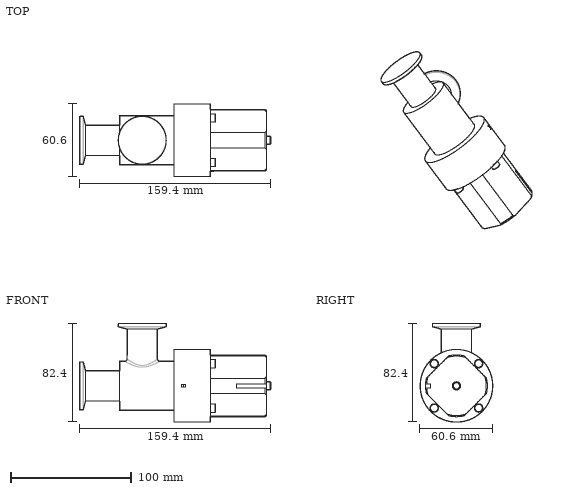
import cadquery as cq
import math


port_reach = 52.07
flange_dia = 40.0
flange_rim = 3.0
flange_cone_angle = 15.0
rim_fillet = 0.5
tube_dia = 25.4

body_dia = 41.0
body_start = -18.9
weld_radius = 1.9
seam_margin = 1.0

ring_dia = 60.64
ring_start = 26.3
ring_end = 56.7

actuator_dia = 51.6
actuator_flats = 44.3
actuator_end = 103.6
end_chamfer_length = 1.5
end_chamfer_depth = 1.0

slot_width = 3.2
slot_length = 25.0
slot_depth = 4.0

window_start = 32.5
window_length = 3.7
window_height = 2.1
window_depth = 2.0
window_step_length = 1.8
window_step_depth = 1.6

screw_dia = 7.0
screw_height = 4.3
screw_chamfer = 0.4
screw_offset = 18.5
pin_dia = 6.82
pin_end = 107.37
pin_chamfer = 0.8


def rod(dia, start, end, y=0.0, z=0.0):
    """Cylinder along X between two stations."""
    return cq.Workplane("YZ", origin=(start, y, z)).circle(dia / 2).extrude(end - start)


def clamp_port():
    """Flange and tube along Z, from the origin up to the flange face."""
    cone_height = (flange_dia - tube_dia) / 2 * math.tan(math.radians(flange_cone_angle))
    rim_bottom = port_reach - flange_rim
    tube = cq.Workplane("XY").circle(tube_dia / 2).extrude(port_reach)
    flange = (
        cq.Workplane("XZ")
        .moveTo(0, port_reach)
        .lineTo(flange_dia / 2, port_reach)
        .lineTo(flange_dia / 2, rim_bottom)
        .lineTo(tube_dia / 2, rim_bottom - cone_height)
        .lineTo(0, rim_bottom - cone_height)
        .close()
        .revolve(360, (0, 0), (0, 1))
    )
    rim_edge = cq.selectors.BoxSelector(
        (-flange_dia, -flange_dia, rim_bottom - rim_fillet),
        (flange_dia, flange_dia, rim_bottom + rim_fillet),
        boundingbox=True,
    )
    return tube.union(flange.edges(rim_edge).fillet(rim_fillet))


def body_with_side_port():
    """Body cylinder joined to the vertical port by a rounded seam."""
    joined = rod(body_dia, body_start, ring_start).union(clamp_port())
    seam = cq.selectors.BoxSelector(
        (-tube_dia, -tube_dia, seam_margin),
        (tube_dia / 2 + seam_margin, tube_dia, body_dia / 2 + seam_margin),
        boundingbox=True,
    )
    return joined.edges(seam).fillet(weld_radius)


def inlet_port():
    """The same port turned to face -X."""
    return clamp_port().rotate((0, 0, 0), (0, 1, 0), -90)


def actuator():
    """Square bar cut to a round envelope with a conical end chamfer."""
    radius = actuator_dia / 2
    bar = (
        cq.Workplane("YZ", origin=(ring_end, 0, 0))
        .transformed(rotate=(0, 0, 45))
        .rect(actuator_flats, actuator_flats)
        .extrude(actuator_end - ring_end)
    )
    envelope = (
        cq.Workplane("XY")
        .moveTo(ring_end, 0)
        .lineTo(ring_end, radius)
        .lineTo(actuator_end - end_chamfer_length, radius)
        .lineTo(actuator_end, radius - end_chamfer_depth)
        .lineTo(actuator_end, 0)
        .close()
        .revolve(360, (0, 0), (1, 0))
    )
    slot = cq.Workplane("XY").box(
        slot_length, slot_depth, slot_width, centered=(False, False, True)
    ).translate((actuator_end - slot_length, -radius, 0))
    return bar.intersect(envelope).cut(slot)


def window_pocket(start, length, depth):
    """Cutter for one flat-floored part of the ring window."""
    pocket = cq.Workplane("XY").box(length, depth, window_height, centered=(False, False, True))
    return pocket.translate((start, -ring_dia / 2, 0))


def bonnet_ring():
    """Ring with its small two-level window."""
    deep_length = window_length - window_step_length
    ring = rod(ring_dia, ring_start, ring_end)
    ring = ring.cut(window_pocket(window_start, deep_length, window_depth))
    return ring.cut(window_pocket(window_start + deep_length, window_step_length, window_step_depth))


def screw(y, z):
    """Screw head standing on the ring face."""
    return rod(screw_dia, ring_end, ring_end + screw_height, y, z).faces(">X").chamfer(screw_chamfer)


def indicator_pin():
    """Chamfered pin on the actuator end."""
    return rod(pin_dia, actuator_end, pin_end).faces(">X").chamfer(pin_chamfer)


result = body_with_side_port()
result = result.union(inlet_port())
result = result.union(bonnet_ring())
result = result.union(actuator())
for y_side in (-1, 1):
    for z_side in (-1, 1):
        result = result.union(screw(y_side * screw_offset, z_side * screw_offset))
result = result.union(indicator_pin())